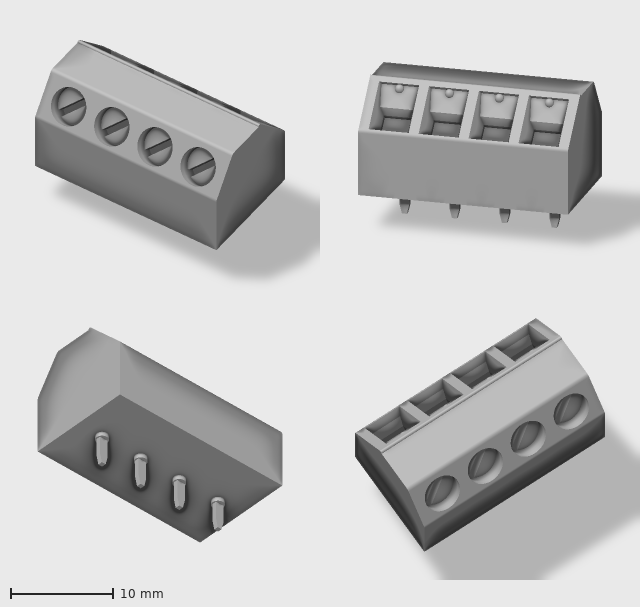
import cadquery as cq
import math


length = 21.32
depth = 12.0
roof_z = 10.77
shoulder_z = 6.65
edge_radius = 0.5
ridge_radius = 0.2
ridge_y = 1.6
ridge_top_z = 10.95
front_angle = 55.0

pole_count = 4
pitch = 5.07

screw_diameter = 3.88
screw_centre_z = 8.57
screw_depth = 1.5
slot_width = 0.75
slot_depth = 1.07
slot_angle = 45.0

mouth_width = 4.07
mouth_height = 5.22
mouth_bottom_y = 5.8
side_draft = 18.7
lip_undercut = 0.13
lip_depth = 1.05
throat_depth = 1.9
throat_bottom = 0.35
throat_height = 2.17
ceiling_bottom = 2.98
ceiling_depth = 0.45
floor_depth = 2.39
dome_radius = 0.45
dome_height = 4.9

collar_diameter = 1.35
collar_height = 0.5
pin_width = 1.0
pin_thickness = 0.51
pin_length = 3.54
tip_width = 0.5
tip_length = 1.0

front_y = -depth / 2
back_y = depth / 2
front_slope = math.radians(front_angle)
roof_front_y = front_y + (roof_z - shoulder_z) / math.tan(front_slope)
diagonal = math.sqrt(0.5)
ridge_z = ridge_top_z - ridge_radius
slope_top_y = ridge_y + ridge_radius * diagonal
slope_top_z = ridge_z + ridge_radius * diagonal
back_shoulder_z = slope_top_z - (back_y - slope_top_y)
ridge_foot_y = ridge_y - math.sqrt(ridge_radius**2 - (roof_z - ridge_z) ** 2)
pole_positions = [(i - (pole_count - 1) / 2) * pitch for i in range(pole_count)]


def make_housing():
    """Extrude the end profile along X and round its long slope edges."""
    profile = (
        cq.Workplane("YZ")
        .moveTo(front_y, 0)
        .lineTo(back_y, 0)
        .lineTo(back_y, back_shoulder_z)
        .lineTo(slope_top_y, slope_top_z)
        .threePointArc((ridge_y, ridge_top_z), (ridge_foot_y, roof_z))
        .lineTo(roof_front_y, roof_z)
        .lineTo(front_y, shoulder_z)
        .close()
    )
    corners = [(front_y, shoulder_z), (roof_front_y, roof_z), (back_y, back_shoulder_z)]
    housing = profile.extrude(length / 2, both=True)
    for y, z in corners:
        housing = housing.edges(cq.selectors.NearestToPointSelector((0, y, z))).fillet(edge_radius)
    return housing


def make_screw_hole(x):
    """Blind hole with the driver slot of the screw head sunk into its floor."""
    centre_y = front_y + (screw_centre_z - shoulder_z) / math.tan(front_slope)
    face = cq.Plane(
        origin=(x, centre_y, screw_centre_z),
        xDir=(1, 0, 0),
        normal=(0, -math.sin(front_slope), math.cos(front_slope)),
    )
    hole = cq.Workplane(face).circle(screw_diameter / 2).extrude(-screw_depth)
    head = cq.Workplane(face).circle(screw_diameter / 2).extrude(-screw_depth - slot_depth)
    slot = (
        cq.Workplane(face)
        .transformed(rotate=(0, 0, slot_angle))
        .rect(screw_diameter, slot_width)
        .extrude(-screw_depth - slot_depth)
    )
    return hole.union(slot.intersect(head))


def make_wire_funnel(x):
    """Drafted mouth narrowing to a straight throat, with a contact dome on its ceiling."""
    mouth_bottom_z = slope_top_z - (mouth_bottom_y - slope_top_y)
    origin = (x, mouth_bottom_y, mouth_bottom_z)
    up_slope = (0, -1, 1)
    side_plane = cq.Plane(origin=origin, xDir=up_slope, normal=(-1, 0, 0))
    cross_plane = cq.Plane(origin=origin, xDir=(1, 0, 0), normal=up_slope)

    throat_top = throat_bottom + throat_height
    side_profile = [
        (0, 0),
        (-lip_undercut, -lip_depth),
        (throat_bottom, -throat_depth),
        (throat_top, -throat_depth),
        (ceiling_bottom, -lip_depth),
        (mouth_height, -ceiling_depth),
        (mouth_height, 0),
    ]
    funnel = cq.Workplane(side_plane).polyline(side_profile).close().extrude(mouth_width / 2, both=True)

    throat_width = mouth_width - 2 * throat_depth * math.tan(math.radians(side_draft))
    draft_profile = [
        (-mouth_width / 2, 0),
        (-throat_width / 2, -throat_depth),
        (throat_width / 2, -throat_depth),
        (mouth_width / 2, 0),
    ]
    drafted = cq.Workplane(cross_plane).polyline(draft_profile).close().extrude(2 * mouth_height, both=True)

    throat = (
        cq.Workplane(side_plane)
        .moveTo(throat_bottom, -floor_depth)
        .lineTo(throat_top, -floor_depth)
        .lineTo(throat_top, -throat_depth)
        .lineTo(throat_bottom, -throat_depth)
        .close()
        .extrude(throat_width / 2, both=True)
    )

    ceiling_slope = (lip_depth - ceiling_depth) / (mouth_height - ceiling_bottom)
    dome_depth = ceiling_depth + (mouth_height - dome_height) * ceiling_slope
    dome_centre = side_plane.toWorldCoords((dome_height, -dome_depth))
    dome = cq.Workplane("XY").sphere(dome_radius).translate(dome_centre)
    return funnel.intersect(drafted).union(throat).cut(dome)


def make_pin(x):
    """Flat pin with a tapered tip, hanging from a round collar."""
    blade_profile = [
        (x - pin_width / 2, 0),
        (x - pin_width / 2, tip_length - pin_length),
        (x - tip_width / 2, -pin_length),
        (x + tip_width / 2, -pin_length),
        (x + pin_width / 2, tip_length - pin_length),
        (x + pin_width / 2, 0),
    ]
    blade = cq.Workplane("XZ").polyline(blade_profile).close().extrude(pin_thickness / 2, both=True)
    collar = cq.Workplane("XY").center(x, 0).circle(collar_diameter / 2).extrude(-collar_height)
    return blade.union(collar)


result = make_housing()
for pole_x in pole_positions:
    result = result.cut(make_screw_hole(pole_x))
    result = result.cut(make_wire_funnel(pole_x))
    result = result.union(make_pin(pole_x))